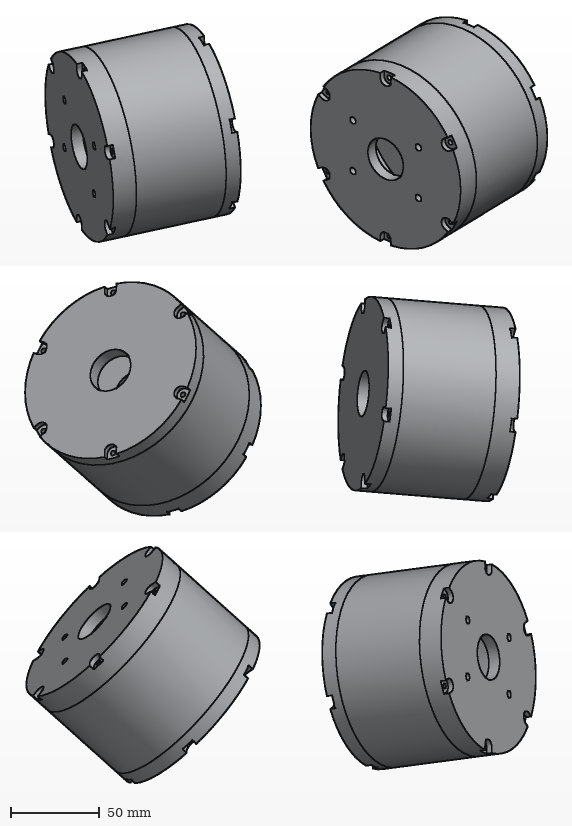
import cadquery as cq
import math

outer_dia = 110.0
total_length = 77.0
front_cap_length = 14.0
rear_cap_length = 8.9
front_face_y = -total_length / 2
rear_face_y = total_length / 2
housing_front_y = front_face_y + front_cap_length
housing_rear_y = rear_face_y - rear_cap_length

housing_bore_dia = 95.0
shaft_bore_dia = 26.0
front_wall = 7.0

bulkhead_front_y = (housing_front_y + housing_rear_y) / 2
bulkhead_thickness = front_wall

screw_count = 6
screw_circle_radius = 51.7
screw_hole_dia = 3.0
notch_width = 7.7
notch_depth = 3.3

mount_hole_dia = 4.2
mount_spacing_x = 48.0
mount_spacing_z = 33.0


def cylinder(dia, start_y, end_y, x=0.0, z=0.0):
    """Solid cylinder parallel to Y between two Y positions."""
    axis_start = cq.Vector(x, start_y, z)
    solid = cq.Solid.makeCylinder(dia / 2, end_y - start_y, axis_start, cq.Vector(0, 1, 0))
    return cq.Workplane(obj=solid)


def screw_angles():
    """Angles of the screws about the Y axis, starting from the top."""
    return [90 + i * 360 / screw_count for i in range(screw_count)]


def cut_screw_holes(body, start_y, end_y):
    """Ring of screw holes parallel to the axis."""
    for angle in screw_angles():
        x = screw_circle_radius * math.cos(math.radians(angle))
        z = screw_circle_radius * math.sin(math.radians(angle))
        body = body.cut(cylinder(screw_hole_dia, start_y, end_y, x, z))
    return body


def cut_notches(body, start_y):
    """Round-bottomed notches around the screws, running radially out of the rim."""
    end_y = start_y + notch_depth
    slot_length = outer_dia / 2
    round_end = cylinder(notch_width, start_y, end_y, screw_circle_radius)
    slot = cq.Workplane().box(slot_length, notch_depth, notch_width, centered=(False, False, True))
    notch = round_end.union(slot.translate((screw_circle_radius, start_y, 0)))
    for angle in screw_angles():
        body = body.cut(notch.rotate((0, 0, 0), (0, 1, 0), -angle))
    return body


def make_housing():
    """Tube with one bulkhead; the shaft bore runs through the bulkhead."""
    bulkhead_rear_y = bulkhead_front_y + bulkhead_thickness
    body = cylinder(outer_dia, housing_front_y, housing_rear_y)
    body = body.cut(cylinder(housing_bore_dia, housing_front_y, bulkhead_front_y))
    body = body.cut(cylinder(housing_bore_dia, bulkhead_rear_y, housing_rear_y))
    return body.cut(cylinder(shaft_bore_dia, bulkhead_front_y, bulkhead_rear_y))


def make_front_cap():
    """Cup with a cavity as wide as the housing bore, open towards the housing."""
    cap = cylinder(outer_dia, front_face_y, housing_front_y)
    cap = cap.cut(cylinder(shaft_bore_dia, front_face_y, housing_front_y))
    cap = cap.cut(cylinder(housing_bore_dia, front_face_y + front_wall, housing_front_y))
    for x in (-mount_spacing_x / 2, mount_spacing_x / 2):
        for z in (-mount_spacing_z / 2, mount_spacing_z / 2):
            cap = cap.cut(cylinder(mount_hole_dia, front_face_y, housing_front_y, x, z))
    cap = cut_notches(cap, front_face_y)
    return cut_screw_holes(cap, front_face_y, housing_front_y)


def make_rear_cap():
    """Flat end plate with the shaft bore and notched screw holes."""
    cap = cylinder(outer_dia, housing_rear_y, rear_face_y)
    cap = cap.cut(cylinder(shaft_bore_dia, housing_rear_y, rear_face_y))
    cap = cut_notches(cap, rear_face_y - notch_depth)
    return cut_screw_holes(cap, housing_rear_y, rear_face_y)


housing = make_housing()
front_cap = make_front_cap()
rear_cap = make_rear_cap()

result = cq.Compound.makeCompound([housing.val(), front_cap.val(), rear_cap.val()])